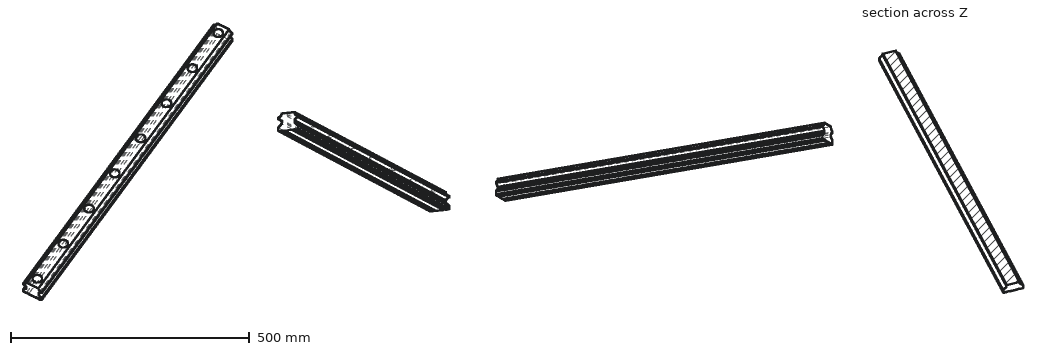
import cadquery as cq

length = 775.0
width = 45.0
height = 38.0

top_width = 29.5
top_edge_z = 36.5
shoulder_width = 40.0
shoulder_z = 30.0
nose_top_z = 29.0
nose_bottom_z = 26.0

upper_track_radius = 8.0
lower_track_radius = 12.5

waist_width = 29.5
waist_top_z = 20.0
waist_bottom_z = 15.5

base_side_z = 8.0
base_chamfer = 1.5
groove_inner_x = 9.0
groove_outer_x = 15.0
groove_depth = 1.0

hole_count = 8
hole_end_distance = 20.0
hole_pitch = (length - 2 * hole_end_distance) / (hole_count - 1)
cap_diameter = 20.0
cap_recess = 0.15


def make_half_profile():
    """Cross-section on the +X side, closed along the centre plane."""
    return (
        cq.Workplane("XZ", origin=(0, length / 2, 0))
        .moveTo(0, 0)
        .lineTo(width / 2 - base_chamfer, 0)
        .lineTo(width / 2, base_chamfer)
        .lineTo(width / 2, base_side_z)
        .lineTo(waist_width / 2, waist_bottom_z)
        .lineTo(waist_width / 2, waist_top_z)
        .radiusArc((width / 2, nose_bottom_z), lower_track_radius)
        .lineTo(width / 2, nose_top_z)
        .lineTo(shoulder_width / 2, shoulder_z)
        .radiusArc((top_width / 2, top_edge_z), upper_track_radius)
        .lineTo(top_width / 2, height)
        .lineTo(0, height)
        .close()
    )


def make_rail():
    half = make_half_profile().extrude(length)
    return half.union(half.mirror("YZ"))


def make_base_grooves():
    """Two shallow grooves along the full length of the underside."""
    groove_width = groove_outer_x - groove_inner_x
    groove_centre_x = (groove_outer_x + groove_inner_x) / 2
    return (
        cq.Workplane("XY")
        .pushPoints([(-groove_centre_x, 0), (groove_centre_x, 0)])
        .rect(groove_width, length)
        .extrude(groove_depth)
    )


def make_cap_recesses():
    """One row of shallow round recesses along the centre of the top face."""
    return (
        cq.Workplane("XY", origin=(0, 0, height - cap_recess))
        .rarray(8, hole_pitch, 1, hole_count)
        .circle(cap_diameter / 2)
        .extrude(cap_recess)
    )


result = make_rail().cut(make_base_grooves()).cut(make_cap_recesses())